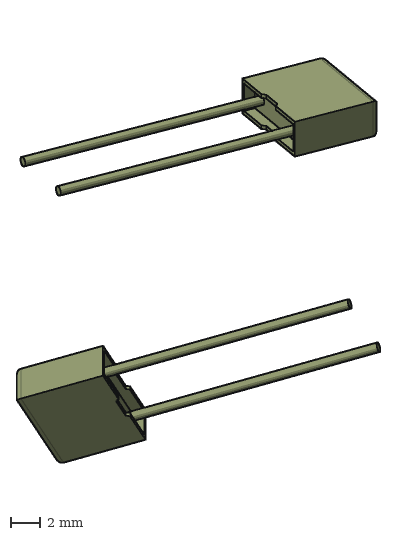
import cadquery as cq

total_length = 24.6

housing_width = 7.4
housing_length = 6.65
housing_thickness = 2.7
back_edge_radius = 0.5
side_wall = 0.25
broad_wall = 0.3
back_wall = 0.3

notch_mouth_width = 2.0
notch_floor_width = 1.6
notch_depth = 0.25

filler_recess = 0.85

lead_diameter = 0.7
lead_pitch = 5.0

cavity_width = housing_width - 2 * side_wall
cavity_thickness = housing_thickness - 2 * broad_wall
cavity_end = housing_length - back_wall
lead_tip = housing_length - total_length
lead_length = filler_recess - lead_tip


def make_block(width, thickness, y_start, y_end):
    """Box centred on the Y axis, spanning y_start to y_end."""
    length = y_end - y_start
    block = cq.Workplane("XY").box(width, length, thickness)
    return block.translate((0, y_start + length / 2, 0))


def make_notch_cutter():
    """Trapezoidal prism that passes through both broad walls."""
    return (
        cq.Workplane("XY")
        .polyline([
            (-notch_mouth_width / 2, 0),
            (-notch_floor_width / 2, notch_depth),
            (notch_floor_width / 2, notch_depth),
            (notch_mouth_width / 2, 0),
        ])
        .close()
        .extrude(housing_thickness / 2, both=True)
    )


def make_housing():
    """Open shell with rounded back edges and a notched mouth."""
    shell = make_block(housing_width, housing_thickness, 0, housing_length)
    shell = shell.faces(">Y").edges().fillet(back_edge_radius)
    cavity = make_block(cavity_width, cavity_thickness, 0, cavity_end)
    return shell.cut(cavity).cut(make_notch_cutter())


def make_filler():
    """Solid block that fills the cavity behind the recess."""
    return make_block(cavity_width, cavity_thickness, filler_recess, cavity_end)


def make_lead(x):
    """Straight wire whose inner end rests on the filler face."""
    lead = cq.Workplane("XZ").circle(lead_diameter / 2).extrude(lead_length)
    return lead.translate((x, filler_recess, 0))


housing = make_housing()
filler = make_filler()
leads = [make_lead(side * lead_pitch / 2) for side in (-1, 1)]

result = cq.Compound.makeCompound([
    housing.val(),
    filler.val(),
    *[lead.val() for lead in leads],
])